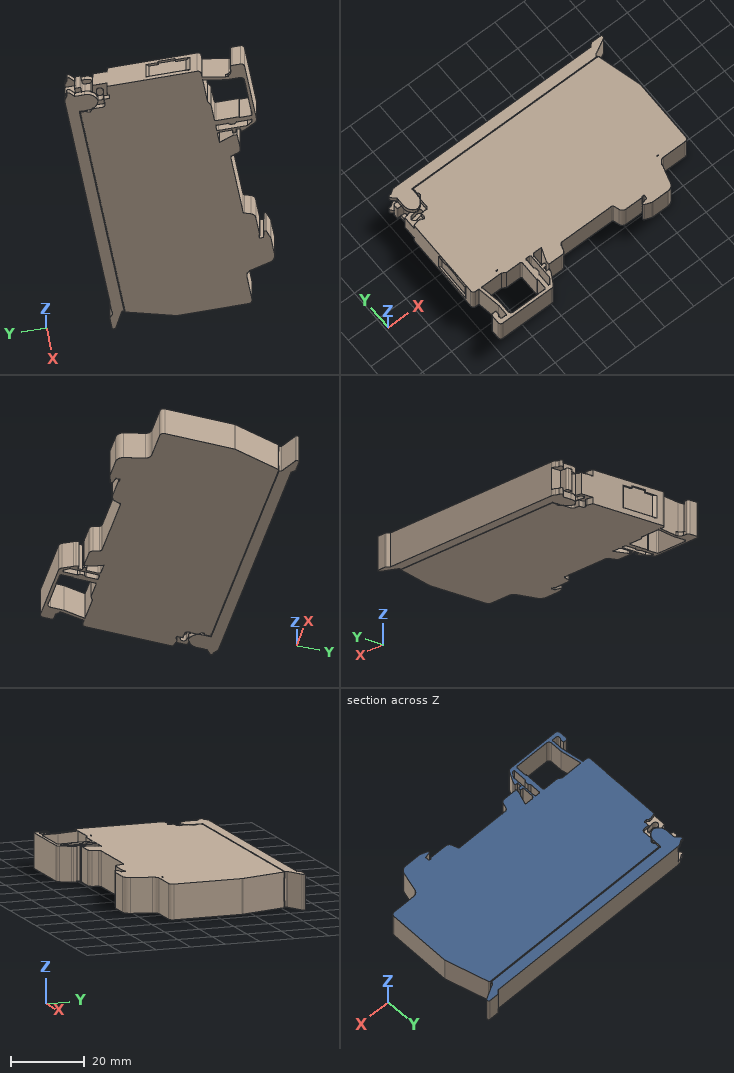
import cadquery as cq
import math


THICKNESS = 10.0
CHEEK = 1.85
CORE_BOTTOM = CHEEK
CORE_TOP = THICKNESS - CHEEK
CORE_THICKNESS = CORE_TOP - CORE_BOTTOM

HOUSING_RIGHT = 74.4
HOUSING_TOP = 46.6
HOUSING_BOTTOM = 12.0
CAGE_CEILING = 11.28
CEILING_STEP_LEFT = 9.9
CEILING_STEP_RIGHT = 11.1
SLOPE_TOP_X = 70.6
SLOPE_BOTTOM_Y = 33.0
HOUSING_CORNER_R = 1.1

RAIL_SEAT_Y = 9.15
FOOT_Y = 6.1
FOOT_LEFT = 21.6
FOOT_LEFT_TOP = 23.1
FOOT_LEFT_BEND_Y = 7.2
FOOT_RIGHT = 62.25
FOOT_RIGHT_TOP = 64.6
FOOT_CORNER_R = 2.2
FOOT_BLEND_R = 1.7
SEAT_LEFT = 28.05
SEAT_RIGHT = 46.1
SEAT_FLARE = 1.0
HOOK_TIP_X = 52.8
HOOK_TIP_LOW = 4.15
HOOK_TIP_HIGH = 4.75
HOOK_RAMP_X = 55.2
HOOK_NECK_X = 54.7
HOOK_NECK_LEFT = 53.9
HOOK_NECK_LOW = 5.2
HOOK_NECK_TOP = 6.35
HOOK_BOTTOM = 3.3

LID_TOP = 50.1
LID_UNDERSIDE = 46.8
LID_TIP_TOP = 51.09
LID_TIP_X = 75.22
LID_RIGHT = 70.25
GRIP_LEFT = 70.6
GRIP_RAMP = 1.0
GRIP_ROOT_Y = 47.4
NOSE_TOP = 49.15
NOSE_LOW = 48.4
NOSE_ROOT_Y = 47.1
NOSE_RAMP_X = (0.85, 2.2)
LEG_LEFT = 1.41
LEG_RIGHT = 6.35
LEG_ARC_Y = 44.35
LEG_TOE_Y = 41.14
LEG_CENTER_X = (LEG_LEFT + LEG_RIGHT) / 2
TOE_BULGE = (1.75, 2.15)
LEG_GAP = 0.25

CORE_WALL_X = 2.8
POST_TOP = 46.9
POST_BOTTOM = 45.2
CORE_SHOULDER_Y = 41.85
SHOULDER_BEND = (1.9, 42.3)
SHOULDER_TOP_Y = 42.9

RECESS_BOTTOM = 37.85
RECESS_RIGHT = 6.2
RECESS_LEDGE_Y = 39.55
RECESS_STEP_X = 3.8
HUMP_TOP = 38.3
HUMP_LEFT = 1.75
HUMP_RIGHT = 2.5
HUMP_FOOT = 2.95
NICK_BOTTOM = 43.1
NICK_TIP = (7.1, 43.95)
NICK_SHOULDER_X = 6.9
NICK_TOP = 44.75

CAPSULE_LENGTH = 3.9
CAPSULE_WIDTH = 1.85
CAPSULE_CENTER = (3.05, 40.45)
CAPSULE_TILT = 10.0
CAPSULE_DEPTH = 2.5

CAGE_CORNER_R = 0.94
ARM_OUTER_X = 3.3
ARM_INNER_X = 4.2
ARM_TOP_OUTER_X = 2.1
ARM_TOP_INNER_X = 3.0
ARM_OUTER_BEND_Y = 4.9
ARM_INNER_BEND_Y = 5.7
CAGE_FLOOR_Y = 0.93
CAGE_OVERLAP = 0.5
CAGE_INNER_RIGHT = 16.2
CAGE_RIGHT = 18.55
CAGE_STEP_Y = 4.5
CAGE_RIGHT_STEP = 0.25
CATCH_SLOT_FLOOR = 1.37
CATCH_TOP = 4.0
CATCH_INNER_X = 1.65
CATCH_UNDERCUT_X = 1.4
CATCH_BEND_Y = 2.5
WEB_THICKNESS = 1.15
WEB_TOP = (3.15, 5.7)
WEB_MIDDLE = (2.75, 4.6)
WEB_ARC_START_X = 1.9
WEB_CORNER = (1.0, 1.0)

SLOT_LEFT = 17.7
FINGER_LEFT = 19.35
FINGER_RIGHT = 19.95
TOOTH_X = 20.95
TOOTH_BOTTOM = 6.15
TOOTH_TOP = 7.15
TOOTH_BEVEL = 0.35
LOWER_TOOTH_TOP = 4.95
FINGER_KNEE = (20.6, 3.8)
FINGER_ROOT_Y = 2.85
SLOT_FLOOR = 1.35
SLOT_FLOOR_RIGHT = 18.3
SLOT_BUMP_X = 18.15
SLOT_BUMP_BASE_Y = (5.5, 7.85)
SLOT_BUMP_CREST_Y = (6.1, 7.25)

POCKET_DEPTH = 0.6
POCKET_Y = (15.0, 27.05)
POCKET_Z = (1.65, 8.2)
POCKET_TOP_RUN = 0.65
POCKET_BOTTOM_RUN = 1.1
POCKET_NOTCH_Y = (19.05, 23.8)
POCKET_NOTCH_TOP = 8.85

SLIT_SIZE = (0.5, 0.1)
SLIT_DEPTH = 0.2
SLIT_X = (9.4, 64.9)
SLIT_Y = 13.4


def corner_arc(before, corner, after, radius):
    """Start, middle and end of the arc that rounds a corner."""
    cx, cy = corner[:2]
    angle_in = math.atan2(before[1] - cy, before[0] - cx)
    angle_out = math.atan2(after[1] - cy, after[0] - cx)
    half = math.acos(math.cos(angle_in - angle_out)) / 2
    bisector = math.atan2(
        math.sin(angle_in) + math.sin(angle_out),
        math.cos(angle_in) + math.cos(angle_out),
    )
    tangent = radius / math.tan(half)
    to_middle = radius / math.sin(half) - radius

    def away(angle, distance):
        return (cx + distance * math.cos(angle), cy + distance * math.sin(angle))

    return away(angle_in, tangent), away(bisector, to_middle), away(angle_out, tangent)


def plate(corners, bottom, thickness):
    """Extrude a closed outline whose corners are (x, y) or, when rounded, (x, y, radius)."""
    first = corners[0]
    outline = cq.Workplane("XY").workplane(offset=bottom).moveTo(first[0], first[1])
    for i in range(1, len(corners)):
        corner = corners[i]
        if len(corner) == 2:
            outline = outline.lineTo(*corner)
            continue
        after = corners[(i + 1) % len(corners)]
        start, middle, end = corner_arc(corners[i - 1], corner, after, corner[2])
        outline = outline.lineTo(*start).threePointArc(middle, end)
    return outline.close().extrude(thickness)


def housing_lower_edge():
    """Right side and underside of the housing, from its top right corner to its left face."""
    return [
        (SLOPE_TOP_X, HOUSING_TOP, 0.4),
        (HOUSING_RIGHT, SLOPE_BOTTOM_Y, 1.0),
        (HOUSING_RIGHT, HOUSING_BOTTOM, HOUSING_CORNER_R),
        (FOOT_RIGHT_TOP, HOUSING_BOTTOM, FOOT_BLEND_R),
        (FOOT_RIGHT, HOOK_BOTTOM, FOOT_CORNER_R),
        (HOOK_RAMP_X, HOOK_BOTTOM, 1.0),
        (HOOK_TIP_X, HOOK_TIP_LOW, 0.3),
        (HOOK_TIP_X, HOOK_TIP_HIGH, 0.2),
        (HOOK_NECK_X, HOOK_NECK_LOW),
        (HOOK_NECK_X, HOOK_NECK_TOP),
        (HOOK_NECK_LEFT, HOOK_NECK_TOP),
        (HOOK_NECK_LEFT, FOOT_Y),
        (SEAT_RIGHT + SEAT_FLARE, FOOT_Y, 1.6),
        (SEAT_RIGHT, RAIL_SEAT_Y, 0.4),
        (SEAT_LEFT, RAIL_SEAT_Y, 0.8),
        (SEAT_LEFT - SEAT_FLARE, FOOT_Y, 1.2),
        (FOOT_LEFT, FOOT_Y),
        (FOOT_LEFT, FOOT_LEFT_BEND_Y, 0.5),
        (FOOT_LEFT_TOP, CAGE_CEILING),
        (CEILING_STEP_RIGHT, CAGE_CEILING),
        (CEILING_STEP_LEFT, HOUSING_BOTTOM),
        (0, HOUSING_BOTTOM, CAGE_CORNER_R),
    ]


def lid_right_tip():
    """Lid outline from its top left, round the raised finger grip, to its underside."""
    return [
        (GRIP_LEFT, LID_TOP),
        (GRIP_LEFT + GRIP_RAMP, LID_TIP_TOP, 0.4),
        (LID_TIP_X, LID_TIP_TOP, 0.4),
        (LID_TIP_X, LID_TOP, 0.3),
        (LID_RIGHT, GRIP_ROOT_Y, 0.2),
    ]


def make_capsule(bottom):
    """Cutter for one tilted capsule recess beside the hinge."""
    capsule = cq.Workplane("XY").slot2D(CAPSULE_LENGTH, CAPSULE_WIDTH).extrude(CAPSULE_DEPTH)
    capsule = capsule.rotate((0, 0, 0), (0, 0, 1), CAPSULE_TILT)
    return capsule.translate((*CAPSULE_CENTER, bottom))


def make_core():
    """Middle layer: lid and housing in one piece, with the hinge post at the left."""
    corners = [(CORE_WALL_X, LID_TOP)]
    corners += lid_right_tip()
    corners += [(LID_RIGHT, HOUSING_TOP)]
    corners += housing_lower_edge()
    corners += [
        (0, CORE_SHOULDER_Y),
        SHOULDER_BEND,
        (CORE_WALL_X, SHOULDER_TOP_Y),
        (CORE_WALL_X, POST_BOTTOM, 0.7),
        (0, POST_BOTTOM, 0.2),
        (0, POST_TOP, 0.45),
        (CORE_WALL_X, POST_TOP),
    ]
    core = plate(corners, CORE_BOTTOM, CORE_THICKNESS)
    for floor in (CORE_BOTTOM, CORE_TOP - CAPSULE_DEPTH):
        core = core.cut(make_capsule(floor))
    return core


def make_housing_cheek(bottom):
    """Outer layer of the housing, cut back around the lid leg and the hinge recess."""
    corners = [(LEG_RIGHT + LEG_GAP, HOUSING_TOP)]
    corners += housing_lower_edge()
    corners += [
        (0, RECESS_BOTTOM),
        (HUMP_LEFT, HUMP_TOP),
        (HUMP_RIGHT, HUMP_TOP),
        (HUMP_FOOT, RECESS_BOTTOM),
        (RECESS_STEP_X, RECESS_BOTTOM, 0.2),
        (RECESS_STEP_X, RECESS_LEDGE_Y),
        (RECESS_RIGHT, RECESS_LEDGE_Y, 0.7),
        (RECESS_RIGHT, NICK_BOTTOM),
        (NICK_TIP[0], NICK_TIP[1], 0.3),
        (NICK_SHOULDER_X, NICK_TOP, 0.1),
        (LEG_RIGHT + LEG_GAP, NICK_TOP),
    ]
    return plate(corners, bottom, CHEEK)


def make_lid_cheek(bottom):
    """Outer layer of the lid: a bar with a nose and a round-toed hinge leg at the left."""
    corners = [(LEG_LEFT, LEG_ARC_Y), (LEG_LEFT, NOSE_ROOT_Y)]
    corners += [
        (0, NOSE_LOW, 0.15),
        (0, NOSE_TOP, 0.4),
        (NOSE_RAMP_X[0], NOSE_TOP, 0.5),
        (NOSE_RAMP_X[1], LID_TOP, 2.0),
    ]
    corners += lid_right_tip()
    corners += [
        (LID_RIGHT, LID_UNDERSIDE),
        (LEG_RIGHT, LID_UNDERSIDE),
        (LEG_RIGHT, LEG_ARC_Y),
    ]
    toe = (
        cq.Workplane("XY")
        .workplane(offset=bottom)
        .moveTo(LEG_LEFT, LEG_ARC_Y)
        .threePointArc(
            (LEG_CENTER_X - TOE_BULGE[0], LEG_ARC_Y - TOE_BULGE[1]),
            (LEG_CENTER_X, LEG_TOE_Y),
        )
        .threePointArc(
            (LEG_CENTER_X + TOE_BULGE[0], LEG_ARC_Y - TOE_BULGE[1]),
            (LEG_RIGHT, LEG_ARC_Y),
        )
        .close()
        .extrude(CHEEK)
    )
    return plate(corners, bottom, CHEEK).union(toe)


def make_latch_cage():
    """Latch cage: frame with a catch at its left and a toothed finger at its right."""
    overlap_y = HOUSING_BOTTOM + CAGE_OVERLAP
    frame = plate(
        [
            (ARM_TOP_OUTER_X, overlap_y),
            (ARM_TOP_OUTER_X, HOUSING_BOTTOM),
            (ARM_OUTER_X, ARM_OUTER_BEND_Y),
            (ARM_OUTER_X, CATCH_SLOT_FLOOR),
            (CATCH_UNDERCUT_X, CATCH_SLOT_FLOOR, 0.3),
            (CATCH_UNDERCUT_X, CATCH_BEND_Y),
            (CATCH_INNER_X, CATCH_BEND_Y + 0.2),
            (CATCH_INNER_X, CATCH_TOP),
            (0, CATCH_TOP, 0.7),
            (0, 0, CAGE_CORNER_R),
            (CAGE_RIGHT, 0, 1.3),
            (FINGER_KNEE[0], FINGER_KNEE[1], 3.0),
            (TOOTH_X, LOWER_TOOTH_TOP),
            (FINGER_RIGHT, LOWER_TOOTH_TOP),
            (FINGER_RIGHT, TOOTH_BOTTOM),
            (TOOTH_X - TOOTH_BEVEL, TOOTH_BOTTOM),
            (TOOTH_X, TOOTH_BOTTOM + TOOTH_BEVEL),
            (TOOTH_X, TOOTH_TOP),
            (FINGER_RIGHT, TOOTH_TOP),
            (FINGER_RIGHT, CAGE_CEILING, 0.7),
            (TOOTH_X, CAGE_CEILING),
            (TOOTH_X, overlap_y),
        ],
        0,
        THICKNESS,
    )
    opening = plate(
        [
            (ARM_TOP_INNER_X, HOUSING_BOTTOM),
            (CEILING_STEP_LEFT, HOUSING_BOTTOM),
            (CEILING_STEP_RIGHT, CAGE_CEILING),
            (CAGE_INNER_RIGHT, CAGE_CEILING, 0.4),
            (CAGE_INNER_RIGHT, CAGE_STEP_Y),
            (CAGE_INNER_RIGHT + CAGE_RIGHT_STEP, CAGE_STEP_Y),
            (CAGE_INNER_RIGHT + CAGE_RIGHT_STEP, CAGE_FLOOR_Y, 0.4),
            (ARM_INNER_X, CAGE_FLOOR_Y, 1.0),
            (ARM_INNER_X, ARM_INNER_BEND_Y),
        ],
        0,
        THICKNESS,
    )
    finger_slot = plate(
        [
            (SLOT_LEFT, SLOT_BUMP_BASE_Y[1]),
            (SLOT_LEFT, CAGE_CEILING, 0.3),
            (FINGER_LEFT, CAGE_CEILING, 0.4),
            (FINGER_LEFT, FINGER_ROOT_Y),
            (SLOT_FLOOR_RIGHT, SLOT_FLOOR, 0.2),
            (SLOT_LEFT, SLOT_FLOOR),
            (SLOT_LEFT, SLOT_BUMP_BASE_Y[0]),
            (SLOT_BUMP_X, SLOT_BUMP_CREST_Y[0]),
            (SLOT_BUMP_X, SLOT_BUMP_CREST_Y[1]),
        ],
        0,
        THICKNESS,
    )
    catch_web = (
        cq.Workplane("XY")
        .moveTo(WEB_CORNER[0], CATCH_TOP)
        .lineTo(WEB_ARC_START_X, CATCH_TOP)
        .threePointArc(WEB_MIDDLE, WEB_TOP)
        .lineTo(ARM_OUTER_X, ARM_OUTER_BEND_Y)
        .lineTo(ARM_OUTER_X, WEB_CORNER[1])
        .lineTo(*WEB_CORNER)
        .close()
        .extrude(WEB_THICKNESS)
    )
    return frame.cut(opening).cut(finger_slot).union(catch_web)


def make_label_pocket():
    """Cutter for the shallow pocket in the left face, with sloped ends and a notch."""
    low, high = POCKET_Y
    pocket = plate(
        [
            (0, low),
            (POCKET_DEPTH, low + POCKET_BOTTOM_RUN),
            (POCKET_DEPTH, high - POCKET_TOP_RUN),
            (0, high),
        ],
        POCKET_Z[0],
        POCKET_Z[1] - POCKET_Z[0],
    )
    notch = cq.Workplane("XY").box(
        POCKET_DEPTH,
        POCKET_NOTCH_Y[1] - POCKET_NOTCH_Y[0],
        POCKET_NOTCH_TOP - POCKET_Z[0],
        centered=False,
    )
    return pocket.union(notch.translate((0, POCKET_NOTCH_Y[0], POCKET_Z[0])))


def make_mark_slits():
    """Cutters for the two tiny slits in the top face."""
    return (
        cq.Workplane("XY")
        .workplane(offset=THICKNESS - SLIT_DEPTH)
        .pushPoints([(x, SLIT_Y) for x in SLIT_X])
        .rect(*SLIT_SIZE)
        .extrude(SLIT_DEPTH)
    )


part = make_core()
for cheek_bottom in (0, CORE_TOP):
    part = part.union(make_housing_cheek(cheek_bottom))
    part = part.union(make_lid_cheek(cheek_bottom))
part = part.union(make_latch_cage())
part = part.cut(make_label_pocket())
part = part.cut(make_mark_slits())
result = part